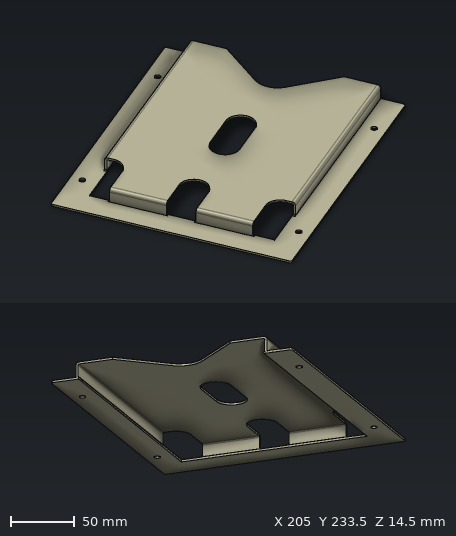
import cadquery as cq
import math

sheet = 2.0
base_width = 205.0
base_length = 233.5
base_corner_radius = 2.0
total_height = 14.5

tray_width = 162.5
tray_front = 20.3
bend_inner_radius = 1.0
bend_outer_radius = bend_inner_radius + sheet

window_width = 157.5
window_front = 22.5

opening_width = 25.0
opening_radius = opening_width / 2
opening_end = 59.0
corner_opening_x = 61.0

slot_length = 56.5
slot_center_y = 126.0

notch_width = 100.0
notch_angle = 40.0
notch_radius = 20.0

hole_diameter = 5.0
hole_x = 92.1
hole_rows = (40.0, 193.5)

bead_size = 1.0


def box(x_min, x_max, y_min, y_max, z_min, z_max):
    """Axis-aligned block between the given limits."""
    size = (x_max - x_min, y_max - y_min, z_max - z_min)
    return cq.Workplane("XY").box(*size, centered=False).translate((x_min, y_min, z_min))


def make_base():
    """U-shaped flat frame, open towards the rear, with four mounting holes."""
    base = box(-base_width / 2, base_width / 2, 0, base_length, 0, sheet)
    base = base.edges("|Z").fillet(base_corner_radius)
    half_window = window_width / 2
    base = base.cut(box(-half_window, half_window, window_front, base_length, 0, sheet))
    hole_centers = [(x, y) for x in (-hole_x, hole_x) for y in hole_rows]
    holes = cq.Workplane("XY").pushPoints(hole_centers).circle(hole_diameter / 2).extrude(sheet)
    return base.cut(holes)


def make_folded_sheet():
    """Top panel with walls bent down along both sides and the front."""
    half_width = tray_width / 2
    outer = box(-half_width, half_width, tray_front, base_length, sheet, total_height)
    outer = outer.edges("(|Y and >Z) or (|X and >Z and <Y)").fillet(bend_outer_radius)
    half_inside = half_width - sheet
    inner = box(-half_inside, half_inside, tray_front + sheet, base_length, sheet, total_height - sheet)
    inner = inner.edges("(|Y and >Z) or (|X and >Z and <Y)").fillet(bend_inner_radius)
    return outer.cut(inner)


def make_front_openings():
    """Round-ended centre opening and two rounded openings that clear the front corners."""
    straight_end = opening_end - opening_radius
    center = (
        cq.Workplane("XY")
        .moveTo(-opening_radius, 0)
        .lineTo(-opening_radius, straight_end)
        .threePointArc((0, opening_end), (opening_radius, straight_end))
        .lineTo(opening_radius, 0)
        .close()
        .extrude(total_height)
    )
    corner = box(corner_opening_x, base_width / 2, 0, opening_end, 0, total_height)
    corner = corner.edges("|Z and <X and >Y").fillet(opening_radius)
    return center.union(corner).union(corner.mirror("YZ"))


def make_grip_notch():
    """V notch whose point is rounded tangent to both flanks."""
    slope = math.radians(notch_angle)
    apex_y = base_length - notch_width / 2 * math.tan(slope)
    arc_center_y = apex_y + notch_radius / math.cos(slope)
    tangent_x = notch_radius * math.sin(slope)
    tangent_y = arc_center_y - notch_radius * math.cos(slope)
    return (
        cq.Workplane("XY")
        .moveTo(-notch_width / 2, base_length)
        .lineTo(-tangent_x, tangent_y)
        .threePointArc((0, arc_center_y - notch_radius), (tangent_x, tangent_y))
        .lineTo(notch_width / 2, base_length)
        .close()
        .extrude(total_height)
    )


def make_tray():
    """Folded sheet with its front openings, grip notch and central slot."""
    slot = (
        cq.Workplane("XY")
        .center(0, slot_center_y)
        .slot2D(slot_length, opening_width, 90)
        .extrude(total_height)
    )
    return make_folded_sheet().cut(make_front_openings()).cut(make_grip_notch()).cut(slot)


def make_bead(run):
    """Quarter-round bead: foot along +X from the origin, extruded by run along +Y."""
    middle = bead_size * math.sqrt(0.5)
    return (
        cq.Workplane("XZ")
        .lineTo(bead_size, 0)
        .threePointArc((middle, middle), (0, bead_size))
        .close()
        .extrude(-run)
    )


def make_beads():
    """Beads at both ends of each front tab and at the front end of each side wall."""
    bead = make_bead(sheet)
    tab_inner = bead.mirror("YZ").translate((opening_radius, tray_front, sheet))
    tab_outer = bead.translate((corner_opening_x, tray_front, sheet))
    side = bead.rotate((0, 0, 0), (0, 0, 1), -90).translate((tray_width / 2 - sheet, opening_end, sheet))
    right_half = tab_inner.union(tab_outer).union(side)
    return right_half.union(right_half.mirror("YZ"))


result = make_base().union(make_tray()).union(make_beads())